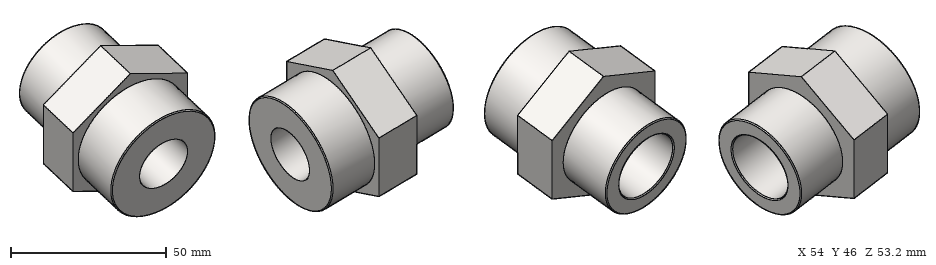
import cadquery as cq
import math

total_length = 54.0
spigot_length = 20.0
hex_length = 16.05
collar_length = total_length - spigot_length - hex_length

spigot_diameter = 36.2
collar_diameter = 41.9
hex_across_flats = 46.05
hex_across_corners = hex_across_flats / math.cos(math.pi / 6)

socket_diameter = 24.15
socket_depth = spigot_length
through_diameter = 19.3

edge_chamfer = 0.4


def cylinder(start, length, diameter):
    """Solid cylinder along +X, beginning at the given X position."""
    return cq.Workplane("YZ", origin=(start, 0, 0)).circle(diameter / 2).extrude(length)


spigot = cylinder(0, spigot_length, spigot_diameter).faces("<X").chamfer(edge_chamfer)
collar_start = spigot_length + hex_length
collar = cylinder(collar_start, collar_length, collar_diameter).faces(">X").chamfer(edge_chamfer)

hexagon = (
    cq.Workplane("YZ", origin=(spigot_length, 0, 0))
    .polygon(6, hex_across_corners)
    .extrude(hex_length)
    .rotate((0, 0, 0), (1, 0, 0), 30)
)
body = spigot.union(hexagon).union(collar)

socket = cylinder(0, socket_depth, socket_diameter)
through_hole = cylinder(0, total_length, through_diameter)
mouth_radius = socket_diameter / 2 + edge_chamfer
socket_mouth = cq.Workplane(
    cq.Solid.makeCone(
        mouth_radius, socket_diameter / 2, edge_chamfer, cq.Vector(0, 0, 0), cq.Vector(1, 0, 0)
    )
)

result = body.cut(socket).cut(through_hole).cut(socket_mouth)